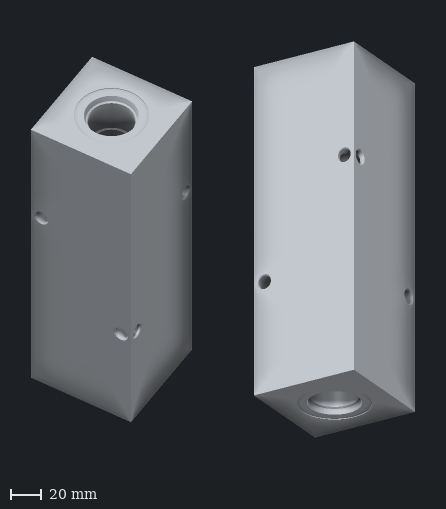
import cadquery as cq

side = 76.1
length = 235

bore_diameter = 27.7
spotface_diameter = 48.9
spotface_depth = 0.5
seat_mouth_diameter = 36.0
seat_throat_diameter = 33.4
seat_depth = 3.5
lead_in_depth = 1.0
thread_diameter = 31.2
thread_end_depth = 28.2

hole_diameter = 9.6
hole_mouth_diameter = 10.8
hole_edge_distance = 7.8
hole_end_distance = 79.5
hole_chamfer = (hole_mouth_diameter - hole_diameter) / 2
hole_offset = side / 2 - hole_edge_distance


def port_cutter():
    """Spotface, tapered seal seat, lead-in and thread bore, cut down from the top face."""
    seat_top = length - spotface_depth
    seat_bottom = seat_top - seat_depth
    return (
        cq.Workplane("XZ")
        .moveTo(0, length)
        .lineTo(spotface_diameter / 2, length)
        .lineTo(spotface_diameter / 2, seat_top)
        .lineTo(seat_mouth_diameter / 2, seat_top)
        .lineTo(seat_throat_diameter / 2, seat_bottom)
        .lineTo(thread_diameter / 2, seat_bottom - lead_in_depth)
        .lineTo(thread_diameter / 2, length - thread_end_depth)
        .lineTo(0, length - thread_end_depth)
        .close()
        .revolve(360, (0, 0, 0), (0, 1, 0))
    )


def mounting_hole_cutter(x, z):
    """Through hole along Y with a chamfered mouth on both faces."""
    face = side / 2
    hole_radius = hole_diameter / 2
    mouth_radius = hole_mouth_diameter / 2
    return (
        cq.Workplane("XY")
        .moveTo(0, -face)
        .lineTo(mouth_radius, -face)
        .lineTo(hole_radius, -face + hole_chamfer)
        .lineTo(hole_radius, face - hole_chamfer)
        .lineTo(mouth_radius, face)
        .lineTo(0, face)
        .close()
        .revolve(360, (0, 0, 0), (0, 1, 0))
        .translate((x, 0, z))
    )


block = cq.Workplane("XY").box(side, side, length, centered=(True, True, False))
bore = cq.Workplane("XY").circle(bore_diameter / 2).extrude(length)
block = block.cut(bore)

top_port = port_cutter()
bottom_port = top_port.mirror("XY", (0, 0, length / 2))
block = block.cut(top_port).cut(bottom_port)

for x, z in ((-hole_offset, length - hole_end_distance), (hole_offset, hole_end_distance)):
    along_y = mounting_hole_cutter(x, z)
    along_x = along_y.rotate((0, 0, 0), (0, 0, 1), -90)
    block = block.cut(along_y).cut(along_x)

result = block